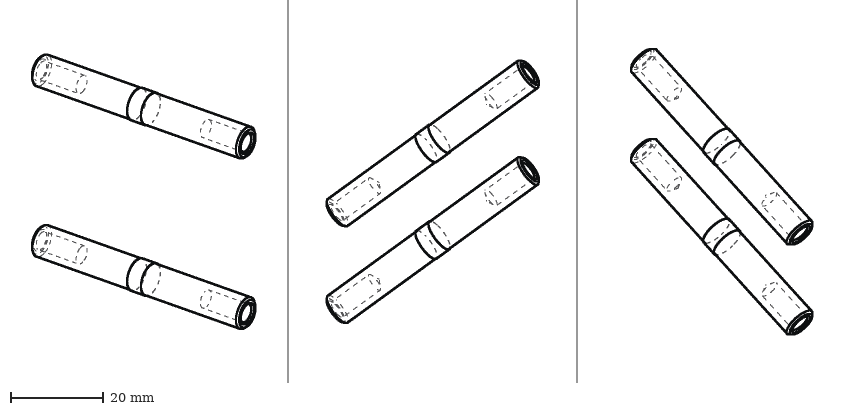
import cadquery as cq
import math

pin_length = 54.7
pin_diameter = 7.3
end_chamfer = 0.5
collar_diameter = 7.5
collar_width = 3.65
bore_diameter = 4.15
bore_mouth_diameter = 5.0
bore_depth = 10.95
drill_tip_angle = 118.0
outer_height = 50.5
pin_spacing = outer_height - collar_diameter

half_length = pin_length / 2
bore_radius = bore_diameter / 2
mouth_radius = bore_mouth_diameter / 2
countersink_depth = mouth_radius - bore_radius
drill_tip_depth = bore_radius / math.tan(math.radians(drill_tip_angle / 2))


def make_cylinder(diameter, length):
    """Cylinder along X, centred on the origin."""
    return cq.Workplane("YZ", origin=(-length / 2, 0, 0)).circle(diameter / 2).extrude(length)


def make_bore():
    """Countersunk blind bore with a drilled bottom, entering the -X end."""
    bore_end = -half_length + bore_depth
    return (
        cq.Workplane("XY")
        .moveTo(-half_length, 0)
        .lineTo(-half_length, mouth_radius)
        .lineTo(-half_length + countersink_depth, bore_radius)
        .lineTo(bore_end, bore_radius)
        .lineTo(bore_end + drill_tip_depth, 0)
        .close()
        .revolve(360, (0, 0, 0), (1, 0, 0))
    )


def make_pin(z):
    """Pin along X with chamfered ends, a central collar and a bore in each end."""
    shaft = make_cylinder(pin_diameter, pin_length).faces("<X or >X").chamfer(end_chamfer)
    collar = make_cylinder(collar_diameter, collar_width)
    bore = make_bore()
    pin = shaft.union(collar).cut(bore).cut(bore.mirror("YZ"))
    return pin.translate((0, 0, z))


pins = [make_pin(z).val() for z in (-pin_spacing / 2, pin_spacing / 2)]

result = cq.Compound.makeCompound(pins)